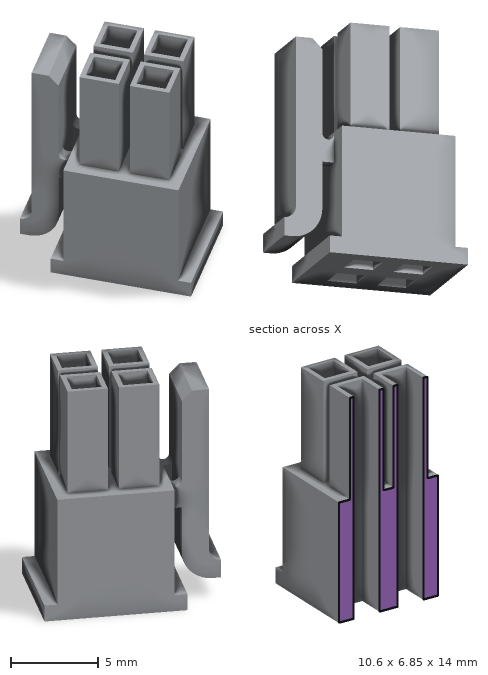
import cadquery as cq
import math

body_size = 6.85
body_top = 7.6
flange_overhang = 0.75
flange_height = 1.0

tower_count = 2
tower_pitch = 3.0
tower_width = 2.35
tower_top = 14.0
cavity_width = 1.75

latch_width = 3.85
latch_thickness = 1.6
latch_gap = 0.7
latch_top = 13.1
latch_bottom = 1.2
latch_chamfer = 0.6
heel_radius = 1.8
toe_length = 0.7
toe_thickness = heel_radius - toe_length

hinge_bottom = 5.8
hinge_notch_center_z = 7.5
hinge_window_width = 2.15

body_left = -body_size / 2
latch_inner = body_left - latch_gap
latch_outer = latch_inner - latch_thickness
toe_tip = latch_outer - toe_length


def centered_block(x_size, y_size, z_bottom, z_top):
    """Block centred on the Z axis between two heights."""
    return (
        cq.Workplane("XY")
        .workplane(offset=z_bottom)
        .rect(x_size, y_size)
        .extrude(z_top - z_bottom)
    )


def tower_grid(width, z_bottom, z_top):
    """Square prisms at every terminal position."""
    return (
        cq.Workplane("XY")
        .workplane(offset=z_bottom)
        .rarray(tower_pitch, tower_pitch, tower_count, tower_count)
        .rect(width, width)
        .extrude(z_top - z_bottom)
    )


def make_housing():
    """Flange, body and towers, with the terminal cavities running right through."""
    flange = centered_block(body_size + 2 * flange_overhang, body_size, 0, flange_height)
    body = centered_block(body_size, body_size, 0, body_top)
    towers = tower_grid(tower_width, 0, tower_top)
    cavities = tower_grid(cavity_width, 0, tower_top)
    return flange.union(body).union(towers).cut(cavities)


def make_latch():
    """Latch arm with a chamfered top and a rounded heel ending in an outward toe."""
    toe_top = latch_bottom + toe_thickness
    diagonal = math.sqrt(0.5)
    heel_center_x = latch_inner - heel_radius
    heel_center_z = latch_bottom + heel_radius
    heel_mid = (heel_center_x + heel_radius * diagonal, heel_center_z - heel_radius * diagonal)
    toe_mid = (toe_tip + toe_length * diagonal, toe_top + toe_length * (1 - diagonal))
    return (
        cq.Workplane("XZ")
        .moveTo(latch_outer, latch_top)
        .lineTo(latch_inner - latch_chamfer, latch_top)
        .lineTo(latch_inner, latch_top - latch_chamfer)
        .lineTo(latch_inner, heel_center_z)
        .threePointArc(heel_mid, (heel_center_x, latch_bottom))
        .lineTo(toe_tip, latch_bottom)
        .lineTo(toe_tip, toe_top)
        .threePointArc(toe_mid, (latch_outer, toe_top + toe_length))
        .close()
        .extrude(latch_width / 2, both=True)
    )


def make_hinge():
    """Hinge webs with a round-bottomed notch on top and a window between them."""
    notch_radius = latch_gap / 2
    webs = (
        cq.Workplane("XZ")
        .moveTo(latch_inner, hinge_bottom)
        .lineTo(body_left, hinge_bottom)
        .lineTo(body_left, hinge_notch_center_z)
        .threePointArc(
            (body_left - notch_radius, hinge_notch_center_z - notch_radius),
            (latch_inner, hinge_notch_center_z),
        )
        .close()
        .extrude(latch_width / 2, both=True)
    )
    window = centered_block(latch_gap, hinge_window_width, hinge_bottom, hinge_notch_center_z)
    window_center_x = body_left - latch_gap / 2
    return webs.cut(window.translate((window_center_x, 0, 0)))


result = make_housing().union(make_latch()).union(make_hinge())